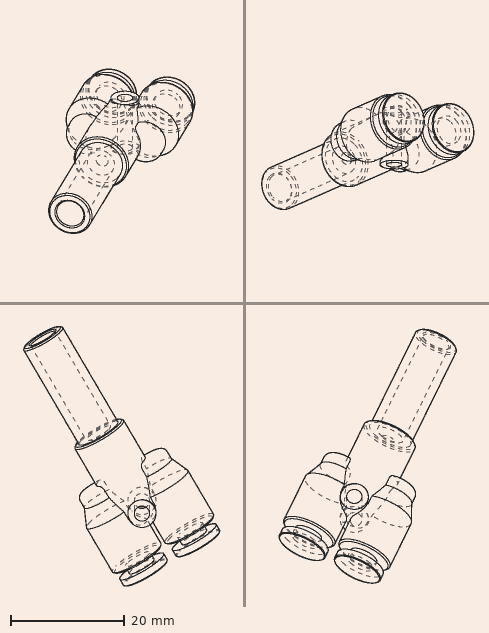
import cadquery as cq


STEM_RADIUS = 4.0
STEM_LENGTH = 20.0
EDGE_CHAMFER = 0.3

BORE_RADIUS = 2.5
BORE_MOUTH_BEVEL = 0.25
BORE_DEPTH = STEM_LENGTH
BORE_TIP_RADIUS = 1.1
BORE_TIP_LENGTH = 0.8

BODY_RADIUS = 5.0
BODY_END_Y = 35.5

BOSS_RADIUS = 2.5
BOSS_HEIGHT = 2 * BODY_RADIUS
BOSS_HOLE_RADIUS = 1.35

LEG_PITCH = 10.7
LEG_RADIUS = BODY_RADIUS
TAIL_RADIUS = 3.55
TAIL_FILLET = 1.05
TAIL_LENGTH = 2.5
CONE_LENGTH = 3.34
BARREL_LENGTH = 9.48
TAIL_START_Y = 27.98
CONE_START_Y = TAIL_START_Y + TAIL_LENGTH
CONE_END_Y = CONE_START_Y + CONE_LENGTH
LEG_END_Y = CONE_END_Y + BARREL_LENGTH

TOTAL_LENGTH = 46.2
NECK_RADIUS = 2.55
FLANGE_RADIUS = 4.5
FLANGE_THICKNESS = 1.4
FLANGE_CHAMFER = 0.15
FLANGE_END_Y = TOTAL_LENGTH
FLANGE_START_Y = FLANGE_END_Y - FLANGE_THICKNESS


def revolve_about_y(profile):
    """Close a (radius, y) half profile and turn it about the Y axis."""
    return profile.close().revolve(360, (0, 0), (0, 1))


def make_stem_and_body():
    profile = (
        cq.Workplane("XY")
        .moveTo(0, 0)
        .lineTo(STEM_RADIUS - EDGE_CHAMFER, 0)
        .lineTo(STEM_RADIUS, EDGE_CHAMFER)
        .lineTo(STEM_RADIUS, STEM_LENGTH)
        .lineTo(BODY_RADIUS - EDGE_CHAMFER, STEM_LENGTH)
        .lineTo(BODY_RADIUS, STEM_LENGTH + EDGE_CHAMFER)
        .lineTo(BODY_RADIUS, BODY_END_Y)
        .lineTo(0, BODY_END_Y)
    )
    return revolve_about_y(profile)


def make_bore():
    profile = (
        cq.Workplane("XY")
        .moveTo(0, 0)
        .lineTo(BORE_RADIUS + BORE_MOUTH_BEVEL, 0)
        .lineTo(BORE_RADIUS, BORE_MOUTH_BEVEL)
        .lineTo(BORE_RADIUS, BORE_DEPTH)
        .lineTo(BORE_TIP_RADIUS, BORE_DEPTH + BORE_TIP_LENGTH)
        .lineTo(0, BORE_DEPTH + BORE_TIP_LENGTH)
    )
    return revolve_about_y(profile)


def make_leg():
    """One leg with its rounded tail and release button, on the Y axis."""
    profile = (
        cq.Workplane("XY")
        .moveTo(0, TAIL_START_Y)
        .lineTo(TAIL_RADIUS - TAIL_FILLET, TAIL_START_Y)
        .radiusArc((TAIL_RADIUS, TAIL_START_Y + TAIL_FILLET), -TAIL_FILLET)
        .lineTo(TAIL_RADIUS, CONE_START_Y)
        .lineTo(LEG_RADIUS, CONE_END_Y)
        .lineTo(LEG_RADIUS, LEG_END_Y - EDGE_CHAMFER)
        .lineTo(LEG_RADIUS - EDGE_CHAMFER, LEG_END_Y)
        .lineTo(NECK_RADIUS, LEG_END_Y)
        .lineTo(NECK_RADIUS, FLANGE_START_Y)
        .lineTo(FLANGE_RADIUS, FLANGE_START_Y)
        .lineTo(FLANGE_RADIUS, FLANGE_END_Y - FLANGE_CHAMFER)
        .lineTo(FLANGE_RADIUS - FLANGE_CHAMFER, FLANGE_END_Y)
        .lineTo(0, FLANGE_END_Y)
    )
    return revolve_about_y(profile)


def make_cross_cylinder(radius):
    """A cylinder along Z through the boss centre, as tall as the boss."""
    return (
        cq.Workplane("XY")
        .center(0, BODY_END_Y)
        .circle(radius)
        .extrude(BOSS_HEIGHT / 2, both=True)
    )


result = make_stem_and_body()
for side in (-1, 1):
    result = result.union(make_leg().translate((side * LEG_PITCH / 2, 0, 0)))
result = result.union(make_cross_cylinder(BOSS_RADIUS))
result = result.cut(make_cross_cylinder(BOSS_HOLE_RADIUS))
result = result.cut(make_bore())